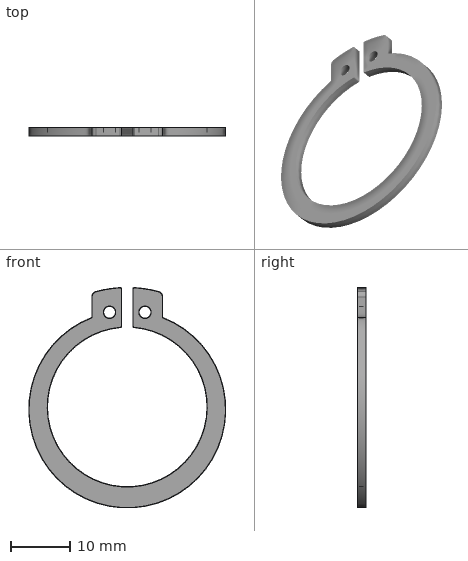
import cadquery as cq
import math

thickness = 1.5
rim_radius = 16.65
bore_radius = 13.47
bore_offset = 0.4

overall_height = 37.2
gap_width = 1.95
lug_span = 12.0
crown_corner_radius = 1.0
gap_corner_radius = 0.22
lug_top = overall_height - rim_radius
peak_x = gap_width / 2 + gap_corner_radius
crown_radius = math.hypot(peak_x, lug_top - bore_offset)

hole_diameter = 2.0
hole_spacing = 6.0
hole_height = 16.4


def disc(radius, center_z):
    """Disc in the XZ plane, centered on Y = 0."""
    return (
        cq.Workplane("XZ")
        .center(0, center_z)
        .circle(radius)
        .extrude(thickness / 2, both=True)
    )


def upright_block(width):
    """Block standing on the rim center and reaching past the crown."""
    return cq.Workplane("XY").box(width, thickness, overall_height, centered=(True, True, False))


lugs = upright_block(lug_span).intersect(disc(crown_radius, bore_offset))
crown_corners = lugs.edges("|Y").edges(cq.selectors.BoxSelector(
    (-lug_span, -thickness, rim_radius),
    (lug_span, thickness, overall_height),
))
lugs = crown_corners.fillet(crown_corner_radius)
ring = disc(rim_radius, 0).union(lugs)
ring = ring.cut(disc(bore_radius, bore_offset)).cut(upright_block(gap_width))

gap_zone = cq.selectors.BoxSelector(
    (-gap_width, -thickness, 0),
    (gap_width, thickness, overall_height),
)
ring = ring.edges("|Y").edges(gap_zone).fillet(gap_corner_radius)

for side in (-1, 1):
    hole = disc(hole_diameter / 2, hole_height).translate((side * hole_spacing / 2, 0, 0))
    ring = ring.cut(hole)

result = ring